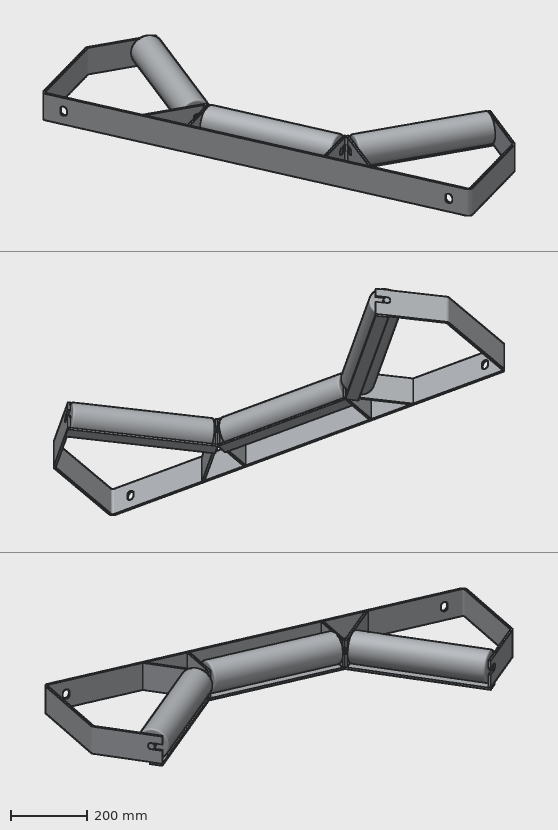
import cadquery as cq
import math

frame_width = 1240.0
frame_height = 79.0
sheet = 6.0
bend_radius = 12.0

drum_diameter = 89.0
drum_length = 378.0
drum_edge_radius = 5.0
drum_top = 92.0
end_gap = 5.0
axle_diameter = 19.0
axle_height = drum_top - drum_diameter / 2
half_span = drum_length / 2 + end_gap + sheet

troughing_angle = 45.0
apex_y = 129.0
axle_depth = 30.0
web_depth = 9.0
tie_width = 35.0
tie_thickness = 6.0

mount_slot_width = 20.0
mount_slot_height = 27.0
mount_slot_x = 557.0

cos_tilt = math.cos(math.radians(troughing_angle))
sin_tilt = math.sin(math.radians(troughing_angle))


def tilt(along, across):
    """Vector of the left roller, given along its axis and across it towards its open side."""
    return (along * cos_tilt + across * sin_tilt, across * cos_tilt - along * sin_tilt)


apex_offset = tilt(half_span, axle_depth)
side_x = half_span + apex_offset[0]
side_y = apex_y - apex_offset[1]
center_seat = (0, apex_y - axle_depth, 0)
seats = [
    (-side_x, side_y, -troughing_angle),
    center_seat,
    (side_x, side_y, troughing_angle),
]


def place(body, seat):
    """Move a body from its own axes, with the roller axis on X, to a seat."""
    x, y, turn = seat
    return body.rotate((0, 0, 0), (0, 0, 1), turn).translate((x, y, 0))


def left_point(along, across):
    """Point in the XY plane, measured from the middle of the left roller."""
    dx, dy = tilt(along, across)
    return (-side_x + dx, side_y + dy)


def cylinder_on_x(diameter, length):
    """Cylinder along the roller axis, centred on the roller middle."""
    return cq.Workplane("YZ", origin=(-length / 2, 0, axle_height)).circle(diameter / 2).extrude(length)


def make_roller():
    drum = cylinder_on_x(drum_diameter, drum_length).edges("%CIRCLE").fillet(drum_edge_radius)
    return drum.union(cylinder_on_x(axle_diameter, 2 * half_span))


def make_tie():
    """Flat strip below the supports of one roller."""
    return (
        cq.Workplane("XY")
        .center(0, axle_depth - tie_width / 2)
        .rect(2 * half_span, tie_width)
        .extrude(-tie_thickness)
    )


def make_axle_slot():
    """Cutter for the two slots of one roller: round at the axle and open at the support ends."""
    length = 2 * half_span
    open_end = (
        cq.Workplane("XY")
        .box(length, 2 * axle_depth, axle_diameter, centered=(True, False, True))
        .translate((0, 0, axle_height))
    )
    return cylinder_on_x(axle_diameter, length).union(open_end)


def cut_axle_slots(body):
    for seat in seats:
        body = body.cut(place(make_axle_slot(), seat))
    return body


def make_frame():
    """Base rail, side walls and inclined arms, bent from one strip."""
    outer_x = frame_width / 2
    inner_x = outer_x - sheet

    def wall_corner(wall_x, face_along):
        arm_x, arm_y = left_point(face_along, 0)
        return (-wall_x, arm_y - (arm_x + wall_x) * cos_tilt / sin_tilt)

    def strip_face(wall_x, base_y, face_along):
        left = [left_point(face_along, axle_depth), wall_corner(wall_x, face_along), (-wall_x, base_y)]
        return left + [(-x, y) for x, y in reversed(left)]

    outer = strip_face(outer_x, 0, -half_span)
    inner = strip_face(inner_x, sheet, sheet - half_span)
    frame = cq.Workplane("XY").polyline(outer + inner[::-1]).close().extrude(frame_height)

    def upright_edges_at(points):
        edges = frame.edges("|Z").vals()
        return [e for e in edges if any(math.dist(e.Center().toTuple()[:2], p) < sheet / 10 for p in points)]

    outer_edges = upright_edges_at(outer[1:-1])
    inner_edges = upright_edges_at(inner[1:-1])
    frame = frame.newObject(outer_edges).fillet(bend_radius)
    frame = frame.newObject(inner_edges).fillet(bend_radius - sheet)

    mount_slots = (
        cq.Workplane("XZ")
        .pushPoints([(-mount_slot_x, frame_height / 2), (mount_slot_x, frame_height / 2)])
        .slot2D(mount_slot_height, mount_slot_width, 90)
        .extrude(-sheet)
    )
    return cut_axle_slots(frame.cut(mount_slots))


def make_inner_support():
    """Left two-legged support: an inclined leg and an upright leg that meet at the apex."""

    def inclined_at(face_along, y):
        face_x, face_y = left_point(face_along, 0)
        return (face_x + (y - face_y) * sin_tilt / cos_tilt, y)

    web_y = apex_y - web_depth
    outline = [
        inclined_at(half_span - sheet, sheet),
        left_point(half_span - sheet, axle_depth),
        (-half_span, apex_y),
        (sheet - half_span, apex_y),
        (sheet - half_span, sheet),
        (-half_span, sheet),
        (-half_span, web_y),
        inclined_at(half_span, web_y),
        inclined_at(half_span, sheet),
    ]
    return cut_axle_slots(cq.Workplane("XY").polyline(outline).close().extrude(frame_height))


frame = make_frame()
left_support = make_inner_support()
inner_supports = [left_support, left_support.mirror("YZ")]
rollers = [place(make_roller(), seat) for seat in seats]
ties = [place(make_tie(), seat) for seat in seats]

bodies = [frame, *inner_supports, *rollers, *ties]
result = cq.Compound.makeCompound([body.val() for body in bodies])